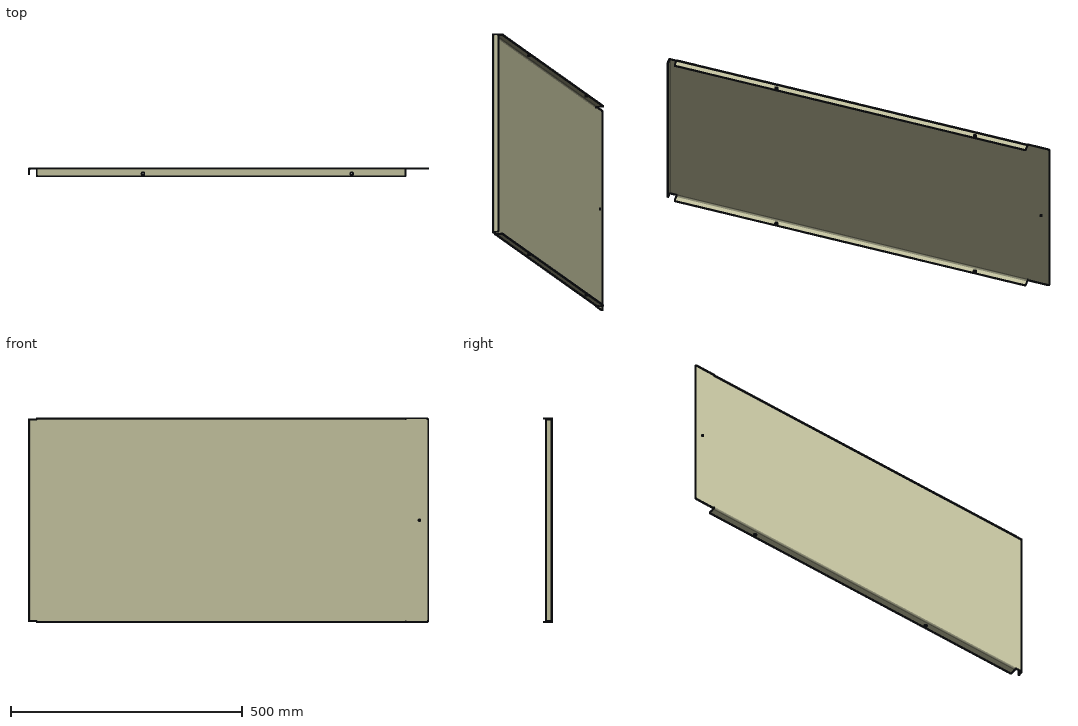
import cadquery as cq

LENGTH = 861.9
HEIGHT = 440.08
SHEET = 1.5
BEND_INNER_RADIUS = 1.0
PANEL_CORNER_RADIUS = 4.0

FLANGE_DEPTH = 17.46
FLANGE_LEFT_GAP = 17.0
FLANGE_RIGHT_GAP = 49.0
FLANGE_CORNER_RADIUS = 2.0

LIP_DEPTH = 13.3
LIP_CORNER_RADIUS = 2.0

PANEL_HOLE_DIAMETER = 3.3
PANEL_HOLE_EDGE_DISTANCE = 19.0
FLANGE_HOLE_DIAMETER = 5.5
FLANGE_HOLE_SPACING = 450.0
FLANGE_HOLE_CENTRE_X = 40.5
FLANGE_HOLE_DEPTH = 12.0

BEND_OUTER_RADIUS = BEND_INNER_RADIUS + SHEET
LEFT = -LENGTH / 2
RIGHT = LENGTH / 2
TOP = HEIGHT / 2
FLANGE_START = LEFT + FLANGE_LEFT_GAP
FLANGE_END = RIGHT - FLANGE_RIGHT_GAP
LIP_BEND_X = LEFT + BEND_OUTER_RADIUS
FLANGE_BEND_Z = TOP - BEND_OUTER_RADIUS


def folded_edge(plane, fold_at, fold_depth):
    """L-shaped profile of a fold; local x points out of the panel, local y points to the back."""
    bend_line = fold_at - BEND_OUTER_RADIUS
    return (
        cq.Workplane(plane)
        .moveTo(bend_line, 0)
        .radiusArc((fold_at, -BEND_OUTER_RADIUS), BEND_OUTER_RADIUS)
        .lineTo(fold_at, -fold_depth)
        .lineTo(fold_at - SHEET, -fold_depth)
        .lineTo(fold_at - SHEET, -BEND_OUTER_RADIUS)
        .radiusArc((bend_line, -SHEET), -BEND_INNER_RADIUS)
        .close()
    )


def make_sheet(x_start, x_end, height):
    """Flat stretch of the panel, centred on Z = 0, with its back on Y = 0."""
    return (
        cq.Workplane("XY")
        .box(x_end - x_start, SHEET, height, centered=(False, False, True))
        .translate((x_start, -SHEET, 0))
    )


def make_panel():
    """Flat panel, reaching full height only to the right of the flanges."""
    between_bends = make_sheet(LIP_BEND_X, FLANGE_END, 2 * FLANGE_BEND_Z)
    full_height = make_sheet(FLANGE_END, RIGHT, HEIGHT)
    full_height = full_height.edges("|Y and >X").fillet(PANEL_CORNER_RADIUS)
    hole = (
        cq.Workplane("XZ")
        .center(RIGHT - PANEL_HOLE_EDGE_DISTANCE, 0)
        .circle(PANEL_HOLE_DIAMETER / 2)
        .extrude(SHEET)
    )
    return between_bends.union(full_height).cut(hole)


def make_flange():
    """Top flange with rounded free corners and two screw holes."""
    profile_plane = cq.Plane(origin=(FLANGE_END, 0, 0), xDir=(0, 0, 1), normal=(-1, 0, 0))
    flange = folded_edge(profile_plane, TOP, FLANGE_DEPTH).extrude(FLANGE_END - FLANGE_START)
    flange = flange.edges("|Z and <Y").fillet(FLANGE_CORNER_RADIUS)
    holes = (
        cq.Workplane("XY", origin=(FLANGE_HOLE_CENTRE_X, -FLANGE_HOLE_DEPTH, TOP))
        .rarray(FLANGE_HOLE_SPACING, 1, 2, 1)
        .circle(FLANGE_HOLE_DIAMETER / 2)
        .extrude(-SHEET)
    )
    return flange.cut(holes)


def make_lip():
    """Lip along the left edge, as tall as the flat panel between the flange bends."""
    profile_plane = cq.Plane(origin=(0, 0, -FLANGE_BEND_Z), xDir=(-1, 0, 0), normal=(0, 0, -1))
    lip = folded_edge(profile_plane, -LEFT, LIP_DEPTH).extrude(-2 * FLANGE_BEND_Z)
    return lip.edges("|X and <Y").fillet(LIP_CORNER_RADIUS)


top_flange = make_flange()
bottom_flange = top_flange.mirror("XY")
result = make_panel().union(top_flange).union(bottom_flange).union(make_lip())